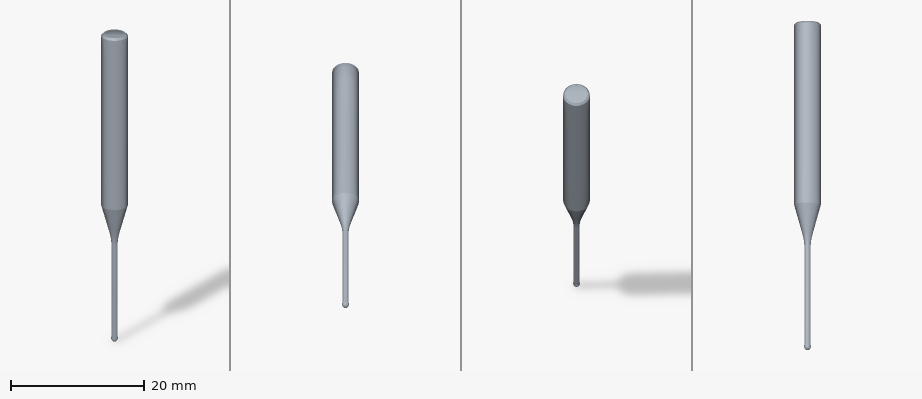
import cadquery as cq
import math

total_length = 50.0
shank_radius = 2.0
shank_bottom = 22.2
shank_chamfer = 0.3

neck_radius = 0.475
neck_top = 16.0
blend_end_height = 17.7
blend_end_radius = 0.75

cutter_radius = 0.5
cutter_length = 0.75


def make_shank():
    """Chamfered shank, conical taper, concave blend and slender neck, turned as one body."""
    profile = (
        cq.Workplane("XZ")
        .moveTo(0, total_length)
        .lineTo(shank_radius - shank_chamfer, total_length)
        .lineTo(shank_radius, total_length - shank_chamfer)
        .lineTo(shank_radius, shank_bottom)
        .lineTo(blend_end_radius, blend_end_height)
        .tangentArcPoint((neck_radius, neck_top), relative=False)
        .lineTo(neck_radius, cutter_length)
        .lineTo(0, cutter_length)
        .close()
    )
    return profile.revolve(360, (0, 0, 0), (0, 1, 0))


def make_cutter():
    """Short cylinder with a hemispherical tip, butted against the neck."""
    arc_offset = cutter_radius * math.sqrt(0.5)
    arc_middle = (arc_offset, cutter_radius - arc_offset)
    profile = (
        cq.Workplane("XZ")
        .moveTo(0, 0)
        .threePointArc(arc_middle, (cutter_radius, cutter_radius))
        .lineTo(cutter_radius, cutter_length)
        .lineTo(0, cutter_length)
        .close()
    )
    return profile.revolve(360, (0, 0, 0), (0, 1, 0))


shank = make_shank()
cutter = make_cutter()
result = cq.Compound.makeCompound([shank.val(), cutter.val()])